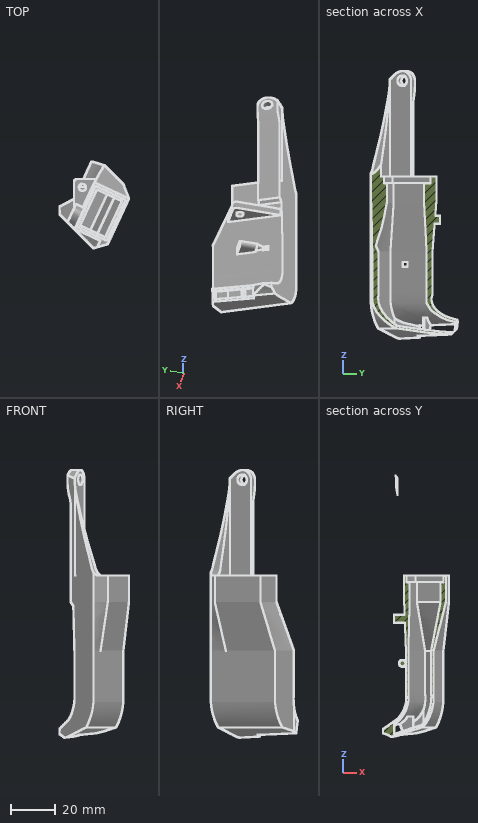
import cadquery as cq
import math

TURN = -25.0
MITRE_ANGLE = 45.0 - TURN
NEAR_END = -14.4
FAR_END = 15.7
REACH = 24.2

FLOOR = -1.2
DUCT_TOP = 39.2
COLLAR_BOTTOM = 61.2
COLLAR_TOP = 73.3
PART_TOP = 120.9

WALL = 1.2
DUCT_FRONT = -3.5
DUCT_BACK = 8.0
TRANSITION_EDGE_Y = -10.6

MOUTH_X = -9.4
MOUTH_NEAR = -1.7
MOUTH_FAR = 17.0
MOUTH_TILT = 0.05
UNDERCUT = 3.0
UNDERCUT_TOP = 7.5
LOWER_LIP_Z = 0.6
RIB_LENGTH = 7.3
RIB_THICKNESS = 0.7
RIB_HEIGHT = 9.7
RIB_Y = 3.5

COLLAR_FRONT = -4.2
COLLAR_BACK = 13.0
COLLAR_NEAR = -13.8
COLLAR_FAR = 9.0
COLLAR_WALL = 2.4
LEDGE_WIDTH = 1.2
LEDGE_DEPTH = 3.0

ARM_FRONT = -5.7
ARM_BACK = -3.4
ARM_FAR = -3.4
ARM_ROOT = -2.4
ARM_CHAMFER_BOTTOM = 58.8
FLARE_FOOT = 9.3
LUG_FRONT = -7.6
LUG_RADIUS = 4.5
LUG_SHOULDER_Y = -14.1
LUG_SHOULDER_Z = 117.0
LUG_BLEND_BOTTOM = 103.5
LUG_HOLE_DIAMETER = 4.6

EAR_LEFT = -9.3
EAR_NEAR = -10.3
EAR_FAR = 11.5
EAR_BOTTOM = 51.9
EAR_THICKNESS = 3.7
EAR_CORNER_RADIUS = 1.6
EAR_HOLE = (-5.5, 7.6)
EAR_HOLE_DIAMETER = 3.1
ROOT_DEPTH = 0.2

PIN_DIAMETER = 3.1
PIN_X = EAR_HOLE[0]
PIN_Z = 33.6
PIN_NEAR = 0.0
PIN_FAR = 7.7
CONE_TIP_Y = -3.4
CONE_TIP_RADIUS = 0.5
PORT_SIDE = 2.0
PORT_DEPTH = 1.8
PORT_Y = -4.4


def mitre_y(x, distance):
    """Local y at x on a mitred face at the given distance from the Z axis."""
    angle = math.radians(MITRE_ANGLE)
    return (distance - x * math.cos(angle)) / math.sin(angle)


def near(x, inset=0.0):
    """Plan point on the near mitred face, moved into the part by inset."""
    return (x, mitre_y(x, NEAR_END + inset))


def far(x, inset=0.0):
    """Plan point on the far mitred face, moved into the part by inset."""
    return (x, mitre_y(x, FAR_END - inset))


def face_x(y, depth=0.0):
    """Global x of a point at global y, the given depth behind the front face of the duct."""
    angle = math.radians(-TURN)
    return (DUCT_FRONT + depth + y * math.sin(angle)) / math.cos(angle)


def turned(shape):
    """Bring a shape from the local frame into the global one."""
    return shape.rotate((0, 0, 0), (0, 0, 1), TURN)


def prism(points, bottom, top):
    """Upright prism over a plan outline."""
    return cq.Workplane("XY").workplane(offset=bottom).polyline(points).close().extrude(top - bottom)


def transition(lower, upper):
    """Ruled solid between an outline at the duct top and one at the collar bottom."""
    return (
        cq.Workplane("XY").workplane(offset=DUCT_TOP).polyline(lower).close()
        .workplane(offset=COLLAR_BOTTOM - DUCT_TOP).polyline(upper).close()
        .loft(ruled=True, combine=True)
    )


def collar_rectangle(inset):
    """Plan corners of the collar: near front, near back, far back, far front."""
    return [
        (COLLAR_FRONT + inset, COLLAR_NEAR + inset),
        (COLLAR_BACK - inset, COLLAR_NEAR + inset),
        (COLLAR_BACK - inset, COLLAR_FAR - inset),
        (COLLAR_FRONT + inset, COLLAR_FAR - inset),
    ]


def duct_side(y, inset):
    """Side profile of the curved duct at local y; the mouth rises slightly along the width."""
    front = DUCT_FRONT + inset
    back = DUCT_BACK - inset
    rise = MOUTH_TILT * (y - near(MOUTH_X)[1])
    return (
        cq.Workplane("XZ", origin=(0, y, 0))
        .moveTo(front, DUCT_TOP)
        .lineTo(front, 20.0)
        .threePointArc((-4.5 + inset, 12.7), (-7.0 + 0.6 * inset, 8.1 + rise - 0.8 * inset))
        .lineTo(-14.5, 2.4 + rise - 1.1 * inset)
        .lineTo(-11.1, 1.0 + rise + inset)
        .lineTo(MOUTH_X, rise + inset)
        .lineTo(-7.7, 0.4 + rise + inset)
        .lineTo(3.6 - 0.3 * inset, 4.7 + inset)
        .threePointArc((7.3 - 0.95 * inset, 12.2 + 0.3 * inset), (back, 20.5))
        .lineTo(back, DUCT_TOP)
        .close()
        .wires().val()
    )


def duct_sweep(inset):
    """Solid between the side profiles beyond both ends of the duct."""
    return cq.Workplane(cq.Solid.makeLoft([duct_side(-REACH, inset), duct_side(REACH, inset)], True))


duct_footprint = [
    near(-12.3), near(DUCT_BACK), far(DUCT_BACK), far(-3.3),
    (MOUTH_X, MOUTH_FAR), (MOUTH_X, MOUTH_NEAR), (-13.9, -7.6),
]
duct = duct_sweep(0).intersect(prism(duct_footprint, FLOOR, DUCT_TOP))

undercut = (
    cq.Workplane("XZ", origin=(0, REACH, 0))
    .moveTo(MOUTH_X, UNDERCUT_TOP)
    .lineTo(MOUTH_X + UNDERCUT, LOWER_LIP_Z)
    .lineTo(MOUTH_X + UNDERCUT, FLOOR)
    .lineTo(MOUTH_X - WALL, FLOOR)
    .lineTo(MOUTH_X - WALL, UNDERCUT_TOP)
    .close()
    .extrude(REACH - MOUTH_NEAR)
)
duct = duct.cut(undercut)

collar_back_near, collar_back_far, collar_front_far = collar_rectangle(0)[1:]
collar_outline = [near(COLLAR_FRONT), near(DUCT_BACK), collar_back_near, collar_back_far, collar_front_far]
transition_foot = [
    near(DUCT_FRONT), near(DUCT_BACK), (DUCT_BACK, TRANSITION_EDGE_Y), far(DUCT_BACK), far(DUCT_FRONT),
]
collar = prism(collar_outline, COLLAR_BOTTOM, COLLAR_TOP)
body = duct.union(transition(transition_foot, collar_outline)).union(collar)

arm = (
    cq.Workplane("XZ", origin=(0, ARM_FAR, 0))
    .moveTo(ARM_ROOT, ARM_CHAMFER_BOTTOM)
    .lineTo(DUCT_FRONT, ARM_CHAMFER_BOTTOM)
    .lineTo(ARM_FRONT, COLLAR_BOTTOM)
    .lineTo(ARM_FRONT, LUG_BLEND_BOTTOM)
    .threePointArc((-5.99, 107.1), (-6.9, 110.0))
    .threePointArc((-7.44, 112.5), (LUG_FRONT, 115.5))
    .lineTo(LUG_FRONT, PART_TOP)
    .lineTo(ARM_BACK, PART_TOP)
    .lineTo(ARM_BACK, COLLAR_BOTTOM)
    .lineTo(ARM_ROOT, COLLAR_BOTTOM)
    .close()
    .extrude(REACH)
)
flare = (
    cq.Workplane("XZ", origin=(0, COLLAR_NEAR, 0))
    .moveTo(ARM_FRONT, COLLAR_BOTTOM)
    .lineTo(ARM_FRONT, PART_TOP)
    .lineTo(ARM_BACK, PART_TOP)
    .lineTo(ARM_BACK, LUG_SHOULDER_Z)
    .threePointArc((-3.0, 112.2), (-2.0, 107.4))
    .threePointArc((1.9, 92.3), (6.8, 77.4))
    .threePointArc((7.7, 75.0), (FLARE_FOOT, COLLAR_TOP))
    .lineTo(FLARE_FOOT, COLLAR_BOTTOM)
    .close()
    .extrude(REACH)
)
arm_footprint = [near(-REACH), near(DUCT_BACK), collar_back_near, (COLLAR_BACK, REACH), (-REACH, REACH)]

lug_centre_y = ARM_FAR - LUG_RADIUS
lug_centre_z = PART_TOP - LUG_RADIUS
lug_diagonal = LUG_RADIUS * math.sqrt(0.5)
lug_outline = (
    cq.Workplane("YZ", origin=(-REACH, 0, 0))
    .moveTo(ARM_FAR, 0)
    .lineTo(ARM_FAR, lug_centre_z)
    .threePointArc((lug_centre_y + lug_diagonal, lug_centre_z + lug_diagonal), (lug_centre_y, PART_TOP))
    .threePointArc((-10.0, 120.3), (-11.7, 119.1))
    .lineTo(LUG_SHOULDER_Y, LUG_SHOULDER_Z)
    .lineTo(-REACH, LUG_SHOULDER_Z)
    .lineTo(-REACH, 0)
    .close()
    .extrude(2 * REACH)
)
lug_hole = (
    cq.Workplane("YZ", origin=(-REACH, lug_centre_y, lug_centre_z))
    .circle(LUG_HOLE_DIAMETER / 2)
    .extrude(REACH)
)
arm = arm.union(flare).intersect(prism(arm_footprint, 0, PART_TOP)).intersect(lug_outline).cut(lug_hole)

cavity_mouth_x = MOUTH_X - UNDERCUT
cavity_near = MOUTH_NEAR + RIB_THICKNESS
cavity_footprint = [
    (cavity_mouth_x, cavity_near), (MOUTH_X, cavity_near), near(-4.8, WALL), near(DUCT_BACK, WALL),
    far(DUCT_BACK, WALL), far(-3.1, WALL), (cavity_mouth_x, MOUTH_FAR - WALL),
]
cavity_foot = [
    near(DUCT_FRONT + WALL, WALL), near(DUCT_BACK - WALL, WALL),
    far(DUCT_BACK - WALL, WALL), far(DUCT_FRONT + WALL, WALL),
]
collar_bore = collar_rectangle(COLLAR_WALL)
mouth_rib = (
    cq.Workplane("XY")
    .box(RIB_LENGTH, RIB_THICKNESS, RIB_HEIGHT, centered=(False, True, False))
    .translate((MOUTH_X, RIB_Y, 0))
    .intersect(duct)
)
cavity = (
    duct_sweep(WALL)
    .intersect(prism(cavity_footprint, FLOOR, DUCT_TOP))
    .cut(mouth_rib)
    .union(transition(cavity_foot, collar_bore))
    .union(prism(collar_bore, COLLAR_BOTTOM, COLLAR_TOP))
    .union(prism(collar_rectangle(LEDGE_WIDTH), COLLAR_TOP - LEDGE_DEPTH, COLLAR_TOP))
)

ear_outline = [
    (EAR_LEFT, EAR_FAR), (EAR_LEFT, EAR_NEAR),
    (face_x(EAR_NEAR, ROOT_DEPTH), EAR_NEAR), (face_x(EAR_FAR, ROOT_DEPTH), EAR_FAR),
]
ear = prism(ear_outline, EAR_BOTTOM, EAR_BOTTOM + EAR_THICKNESS)
ear = ear.edges("|Z and <X and >Y").fillet(EAR_CORNER_RADIUS)
ear_hole = (
    cq.Workplane("XY", origin=(*EAR_HOLE, EAR_BOTTOM)).circle(EAR_HOLE_DIAMETER / 2).extrude(EAR_THICKNESS)
)

pin_radius = PIN_DIAMETER / 2
pin = (
    cq.Workplane("XY")
    .moveTo(0, CONE_TIP_Y)
    .lineTo(CONE_TIP_RADIUS, CONE_TIP_Y)
    .lineTo(pin_radius, PIN_NEAR)
    .lineTo(pin_radius, PIN_FAR)
    .lineTo(0, PIN_FAR)
    .close()
    .revolve(360, (0, 0, 0), (0, 1, 0))
    .translate((PIN_X, 0, PIN_Z))
)
pin_web_outline = [
    (PIN_X, PIN_FAR), (PIN_X, PIN_NEAR),
    (face_x(PIN_NEAR, ROOT_DEPTH), PIN_NEAR), (face_x(PIN_FAR, ROOT_DEPTH), PIN_FAR),
]
pin_web = prism(pin_web_outline, PIN_Z - pin_radius, PIN_Z + pin_radius)
port = (
    cq.Workplane("XY")
    .box(2 * PORT_DEPTH, PORT_SIDE, PORT_SIDE)
    .translate((face_x(PORT_Y), PORT_Y, PIN_Z))
)

result = turned(body.union(arm)).union(ear).union(pin).union(pin_web)
result = result.cut(turned(cavity)).cut(ear_hole).cut(port).clean()